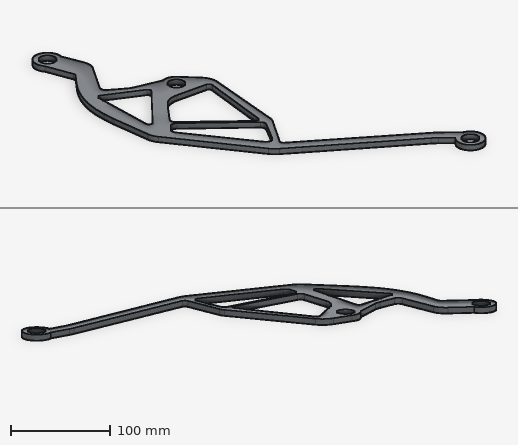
import cadquery as cq
import math

length = 490.0
thickness = 6.5
eye_diameter = 30.5
hole_diameter = 18.0
eye_spacing = length - eye_diameter
middle_hole_x = 140.0
mounting_points = [(0, 0), (middle_hole_x, 0), (eye_spacing, 0)]

upper_edge = [
    (2.5, 12.5, 0),
    (45.0, 7.0, 17.5),
    (75.5, -43.0, 6.0),
    (101.5, -27.0, 24.5),
    (128.0, 5.0, 0),
    (135.0, 14.0, 0),
    (168.0, 25.0, 20.5),
    (259.5, -37.5, 14.5),
    (286.5, -82.5, 4.0),
    (423.5, -1.0, 49),
    (451.0, 11.0, 0),
]
lower_edge = [
    (448.5, -4.0, 0),
    (426.0, -13.0, 49),
    (285.5, -97.5, 29.5),
    (161.5, -117.0, 22.0),
    (110.2, -96.0, 49),
    (64.0, -73.5, 108),
    (38.5, -20.0, 5),
    (2.5, -14.5, 0),
]
triangular_window = [
    (75.5, -57.0, 3.5),
    (121.5, -21.0, 4.0),
    (155.5, -99.5, 4.0),
]
upper_window = [
    (171.0, 13.0, 4.0),
    (250.5, -44.0, 3.5),
    (166.5, -81.5, 5),
    (144.0, -35.5, 24.5),
]
lower_window = [
    (168.0, -84.5, 6.5),
    (255.5, -45.0, 6.5),
    (281.0, -84.5, 6.5),
    (176.0, -101.5, 6.5),
]


def corner_arc(before, corner, after):
    """Start, middle and end of the arc that rounds one corner."""
    x, y, radius = corner
    point = cq.Vector(x, y)
    to_before = (cq.Vector(before[0], before[1]) - point).normalized()
    to_after = (cq.Vector(after[0], after[1]) - point).normalized()
    half_angle = to_before.getAngle(to_after) / 2
    tangent_length = radius / math.tan(half_angle)
    tip_gap = radius / math.sin(half_angle) - radius
    bisector = (to_before + to_after).normalized()
    return (
        point + to_before * tangent_length,
        point + bisector * tip_gap,
        point + to_after * tangent_length,
    )


def rounded_plate(corners):
    """Plate whose polygon outline has its own rounding at every corner."""
    outline = None
    for index, corner in enumerate(corners):
        before = corners[index - 1]
        after = corners[(index + 1) % len(corners)]
        start, middle, end = corner_arc(before, corner, after)
        if outline is None:
            outline = cq.Workplane("XY").moveTo(start.x, start.y)
        else:
            outline = outline.lineTo(start.x, start.y)
        if corner[2] > 0:
            outline = outline.threePointArc((middle.x, middle.y), (end.x, end.y))
    return outline.close().extrude(thickness)


def discs(diameter):
    """One disc of plate thickness at every mounting point."""
    return cq.Workplane("XY").pushPoints(mounting_points).circle(diameter / 2).extrude(thickness)


bracket = rounded_plate(upper_edge + lower_edge).union(discs(eye_diameter))

for window in (triangular_window, upper_window, lower_window):
    bracket = bracket.cut(rounded_plate(window))

result = bracket.cut(discs(hole_diameter))